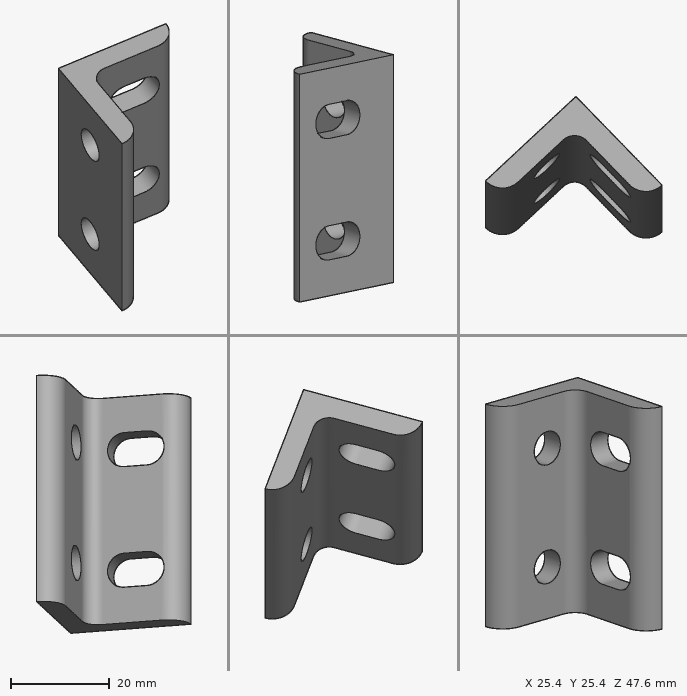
import cadquery as cq

height = 47.6
leg_length = 25.4
thickness = 4.75
toe_radius = thickness
root_radius = 3.35

hole_diameter = 7.15
hole_spacing = leg_length
slot_travel = 4.75
hole_offset = leg_length / 2
hole_heights = [(height - hole_spacing) / 2, (height + hole_spacing) / 2]


def make_angle():
    """L-shaped section with rounded toes and a filleted root, extruded upward."""
    toe_start = leg_length - toe_radius
    root_end = thickness + root_radius
    return (
        cq.Workplane("XY")
        .lineTo(leg_length, 0)
        .radiusArc((toe_start, thickness), -toe_radius)
        .lineTo(root_end, thickness)
        .radiusArc((thickness, root_end), root_radius)
        .lineTo(thickness, toe_start)
        .radiusArc((0, leg_length), -toe_radius)
        .close()
        .extrude(height)
    )


def make_holes():
    """Round holes through the leg along X."""
    centres = [(hole_offset, z) for z in hole_heights]
    return (
        cq.Workplane("XZ")
        .pushPoints(centres)
        .circle(hole_diameter / 2)
        .extrude(-thickness)
    )


def make_slots():
    """Horizontal slots through the leg along Y, with inner ends at the hole offset."""
    slot_centre = hole_offset + slot_travel / 2
    centres = [(slot_centre, z) for z in hole_heights]
    return (
        cq.Workplane("YZ")
        .pushPoints(centres)
        .slot2D(slot_travel + hole_diameter, hole_diameter)
        .extrude(thickness)
    )


result = make_angle().cut(make_holes()).cut(make_slots())